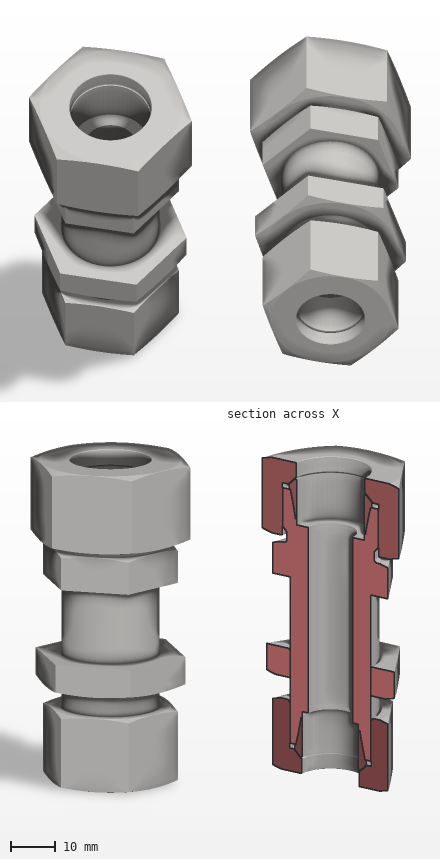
import cadquery as cq
import math

TOTAL_HEIGHT = 73.5

HEX_SIDES = 6
HALF_SIDE_ANGLE = 180 / HEX_SIDES
HEX_CHAMFER_ANGLE = 15.0
HEX_FACE_RATIO = 0.99

LARGE_NUT_FLATS = 32.05
LARGE_NUT_HEIGHT = 18.0
LARGE_TUBE_DIA = 18.0
LARGE_THREAD_DIA = 26.0

SMALL_NUT_FLATS = 27.0
SMALL_NUT_HEIGHT = 17.0
SMALL_TUBE_DIA = 15.0
SMALL_THREAD_DIA = 22.0
SMALL_NUT_MOUTH_DIA = 23.0

LOCK_NUT_FLATS = 30.0
LOCK_NUT_HEIGHT = 7.0
LOCK_NUT_BASE = 22.1
LOCK_NUT_MOUTH_DIA = 22.5

COLLAR_FLATS = 27.0
COLLAR_HEIGHT = 8.0
COLLAR_TO_NUT_GAP = 1.5
BORE_DIA = 12.0
NECK_DIA = 23.7
NECK_FILLET = 0.8
NECK_LENGTH = 2.5

THROAT_CLEARANCE = 0.185
THROAT_LENGTH = 3.5
MOUTH_CHAMFER = 0.11
RING_SETBACK = 0.45
RING_WALL = 2.2
RING_LIP = 0.4
SEAT_ANGLE = 12.0
SEAT_LENGTH = 6.6
HOUSING_END_DEPTH = 6.6
TUBE_STOP_DEPTH = 14.7

LARGE_NUT_BASE = TOTAL_HEIGHT - LARGE_NUT_HEIGHT
COLLAR_TOP = LARGE_NUT_BASE - COLLAR_TO_NUT_GAP
COLLAR_BASE = COLLAR_TOP - COLLAR_HEIGHT
SHOULDER_DEPTH = THROAT_LENGTH + RING_WALL - THROAT_CLEARANCE
RING_END_DEPTH = THROAT_LENGTH + RING_SETBACK
RING_END_WALL = THROAT_CLEARANCE + RING_SETBACK
RING_TIP_DEPTH = HOUSING_END_DEPTH + SEAT_LENGTH
SEAT_MOUTH_WALL = RING_LIP + SEAT_LENGTH * math.tan(math.radians(SEAT_ANGLE))


def revolve_profile(points):
    """Turn a closed outline of (radius, z) points around the Z axis."""
    return cq.Workplane("XZ").polyline(points).close().revolve(360, (0, 0), (0, 1))


def at_large_end(points):
    """Place (radius, depth) points inward from the top face."""
    return [(radius, TOTAL_HEIGHT - depth) for radius, depth in points]


def at_small_end(points):
    """Place (radius, depth) points inward from the bottom face."""
    return points


def cylinder(diameter, base, top):
    """Solid cylinder on the Z axis between two heights."""
    return cq.Workplane("XY", origin=(0, 0, base)).circle(diameter / 2).extrude(top - base)


def hex_prism(flats, base, height, chamfer_bottom, chamfer_top):
    """Hexagon with flats facing +X and -X and conical chamfers on its corners."""
    corner_radius = flats / 2 / math.cos(math.radians(HALF_SIDE_ANGLE))
    face_radius = HEX_FACE_RATIO * flats / 2
    drop = (corner_radius - face_radius) * math.tan(math.radians(HEX_CHAMFER_ANGLE))
    top = base + height
    prism = (
        cq.Workplane("XY", origin=(0, 0, base))
        .polygon(HEX_SIDES, 2 * corner_radius)
        .extrude(height)
        .rotate((0, 0, 0), (0, 0, 1), HALF_SIDE_ANGLE)
    )
    if chamfer_bottom:
        corner = [(face_radius, base), (corner_radius, base), (corner_radius, base + drop)]
        prism = prism.cut(revolve_profile(corner))
    if chamfer_top:
        corner = [(face_radius, top), (corner_radius, top), (corner_radius, top - drop)]
        prism = prism.cut(revolve_profile(corner))
    return prism


def countersink(mouth_dia, top):
    """45 degree cone that opens a small thread hole upward at the height top."""
    depth = (mouth_dia - SMALL_THREAD_DIA) / 2
    return revolve_profile([
        (0, top - depth),
        (SMALL_THREAD_DIA / 2, top - depth),
        (mouth_dia / 2, top),
        (0, top),
    ])


def nut_cavity(tube_dia, thread_dia, nut_height):
    """Half outline of a union nut's hole: throat, 45 degree ring seat and thread."""
    throat_radius = tube_dia / 2 + THROAT_CLEARANCE
    return [
        (0, 0),
        (throat_radius + MOUTH_CHAMFER, 0),
        (throat_radius, MOUTH_CHAMFER),
        (throat_radius, THROAT_LENGTH),
        (tube_dia / 2 + RING_WALL, SHOULDER_DEPTH),
        (thread_dia / 2, SHOULDER_DEPTH),
        (thread_dia / 2, nut_height),
        (0, nut_height),
    ]


def ring_outline(tube_dia):
    """Half outline of a cutting ring between the nut and the housing seat."""
    tube_radius = tube_dia / 2
    return [
        (tube_radius, RING_END_DEPTH),
        (tube_radius + RING_END_WALL, RING_END_DEPTH),
        (tube_radius + RING_WALL, SHOULDER_DEPTH),
        (tube_radius + RING_WALL, HOUSING_END_DEPTH),
        (tube_radius + SEAT_MOUTH_WALL, HOUSING_END_DEPTH),
        (tube_radius + RING_LIP, RING_TIP_DEPTH),
        (tube_radius, RING_TIP_DEPTH),
    ]


def socket_outline(tube_dia):
    """Half outline of a housing socket: conical ring seat, then the tube hole."""
    tube_radius = tube_dia / 2
    return [
        (0, HOUSING_END_DEPTH),
        (tube_radius + SEAT_MOUTH_WALL, HOUSING_END_DEPTH),
        (tube_radius + RING_LIP, RING_TIP_DEPTH),
        (tube_radius, RING_TIP_DEPTH),
        (tube_radius, TUBE_STOP_DEPTH),
        (0, TUBE_STOP_DEPTH),
    ]


def make_housing():
    collar = hex_prism(COLLAR_FLATS, COLLAR_BASE, COLLAR_HEIGHT, False, True)
    stem = cylinder(SMALL_THREAD_DIA, HOUSING_END_DEPTH, COLLAR_BASE)

    neck_radius = NECK_DIA / 2
    thread_radius = LARGE_THREAD_DIA / 2
    runout_base = COLLAR_TOP + NECK_LENGTH
    arc_offset = NECK_FILLET * (1 - math.cos(math.radians(45)))
    spigot = (
        cq.Workplane("XZ")
        .moveTo(0, COLLAR_TOP)
        .lineTo(neck_radius + NECK_FILLET, COLLAR_TOP)
        .threePointArc(
            (neck_radius + arc_offset, COLLAR_TOP + arc_offset),
            (neck_radius, COLLAR_TOP + NECK_FILLET),
        )
        .lineTo(neck_radius, runout_base)
        .lineTo(thread_radius, runout_base + thread_radius - neck_radius)
        .lineTo(thread_radius, TOTAL_HEIGHT - HOUSING_END_DEPTH)
        .lineTo(0, TOTAL_HEIGHT - HOUSING_END_DEPTH)
        .close()
        .revolve(360, (0, 0), (0, 1))
    )

    large_socket = revolve_profile(at_large_end(socket_outline(LARGE_TUBE_DIA)))
    small_socket = revolve_profile(at_small_end(socket_outline(SMALL_TUBE_DIA)))
    bore = cylinder(BORE_DIA, 0, TOTAL_HEIGHT)
    return collar.union(stem).union(spigot).cut(large_socket).cut(small_socket).cut(bore)


def make_large_nut():
    blank = hex_prism(LARGE_NUT_FLATS, LARGE_NUT_BASE, LARGE_NUT_HEIGHT, True, True)
    cavity = nut_cavity(LARGE_TUBE_DIA, LARGE_THREAD_DIA, LARGE_NUT_HEIGHT)
    return blank.cut(revolve_profile(at_large_end(cavity)))


def make_small_nut():
    blank = hex_prism(SMALL_NUT_FLATS, 0, SMALL_NUT_HEIGHT, True, True)
    cavity = nut_cavity(SMALL_TUBE_DIA, SMALL_THREAD_DIA, SMALL_NUT_HEIGHT)
    mouth = countersink(SMALL_NUT_MOUTH_DIA, SMALL_NUT_HEIGHT)
    return blank.cut(revolve_profile(at_small_end(cavity))).cut(mouth)


def make_lock_nut():
    top = LOCK_NUT_BASE + LOCK_NUT_HEIGHT
    blank = hex_prism(LOCK_NUT_FLATS, LOCK_NUT_BASE, LOCK_NUT_HEIGHT, True, False)
    thread = cylinder(SMALL_THREAD_DIA, LOCK_NUT_BASE, top)
    return blank.cut(thread).cut(countersink(LOCK_NUT_MOUTH_DIA, top))


def make_large_ring():
    return revolve_profile(at_large_end(ring_outline(LARGE_TUBE_DIA)))


def make_small_ring():
    return revolve_profile(at_small_end(ring_outline(SMALL_TUBE_DIA)))


housing = make_housing()
large_nut = make_large_nut()
small_nut = make_small_nut()
lock_nut = make_lock_nut()
large_ring = make_large_ring()
small_ring = make_small_ring()

result = cq.Compound.makeCompound([
    housing.val(),
    large_nut.val(),
    small_nut.val(),
    lock_nut.val(),
    large_ring.val(),
    small_ring.val(),
])